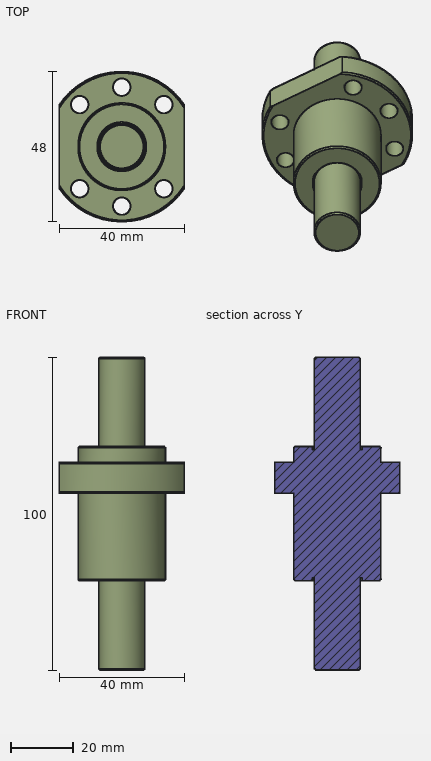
import cadquery as cq

shaft_length = 100.0
shaft_diameter = 14.8
edge_chamfer = 0.5

nut_length = 43.0
nut_diameter = 28.0
nut_bottom = -nut_length / 2
nut_top = nut_length / 2
clearance_diameter = 15.8
clearance_depth = 1.0

flange_diameter = 48.0
flange_width = 40.0
flange_thickness = 10.0
collar_height = 5.0
flange_top = nut_top - collar_height
flange_bottom = flange_top - flange_thickness

mount_hole_diameter = 5.5
mount_circle_radius = 19.0
mount_hole_spacing = 45.0

oil_hole_diameter = 4.9
oil_hole_angle = 90.0 + mount_hole_spacing / 2


def cylinder(diameter, bottom, height):
    """Vertical cylinder on the Z axis."""
    return cq.Workplane("XY").workplane(offset=bottom).circle(diameter / 2).extrude(height)


def chamfered_cylinder(diameter, bottom, height):
    """Vertical cylinder with both rims chamfered."""
    return cylinder(diameter, bottom, height).edges("%CIRCLE").chamfer(edge_chamfer)


def make_flange():
    """Chamfered disc trimmed to two flats, with its mounting holes."""
    disc = chamfered_cylinder(flange_diameter, flange_bottom, flange_thickness)
    flats = cq.Workplane("XY").box(flange_width, flange_diameter, shaft_length)
    flange = disc.intersect(flats)
    for side in (90.0, -90.0):
        holes = (
            cq.Workplane("XY")
            .workplane(offset=flange_bottom)
            .polarArray(mount_circle_radius, side - mount_hole_spacing, 2 * mount_hole_spacing, 3)
            .circle(mount_hole_diameter / 2)
            .extrude(flange_thickness)
        )
        flange = flange.cut(holes)
    return flange


def make_oil_hole():
    """Radial cutter from the flange rim to the shaft axis at mid flange height."""
    return (
        cq.Workplane("YZ")
        .center(0, (flange_top + flange_bottom) / 2)
        .circle(oil_hole_diameter / 2)
        .extrude(flange_diameter)
        .rotate((0, 0, 0), (0, 0, 1), oil_hole_angle)
    )


nut = chamfered_cylinder(nut_diameter, nut_bottom, nut_length).union(make_flange())
nut = nut.cut(make_oil_hole())
for recess_bottom in (nut_bottom, nut_top - clearance_depth):
    nut = nut.cut(cylinder(clearance_diameter, recess_bottom, clearance_depth))

shaft = chamfered_cylinder(shaft_diameter, -shaft_length / 2, shaft_length)
result = nut.union(shaft)